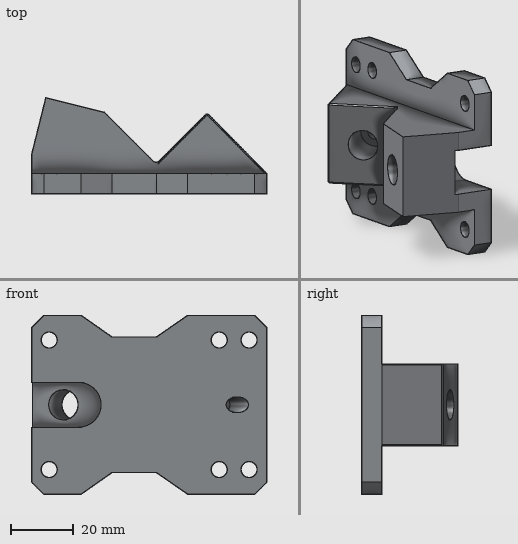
import cadquery as cq
import math

plate_length = 75.0
plate_height = 57.0
plate_thickness = 6.45
corner_chamfer = 3.9
waist_half_height = 21.6
left_wing_end = 15.8
waist_start = 25.65
waist_end = 39.75
right_wing_start = 49.7

screw_diameter = 5.0
screw_columns = (5.6, 59.8, 69.3)
screw_row_offset = 20.6

body_height = 26.1
block_tilt = math.radians(14)
block_left_height = 12.5
block_peak_y = 30.7
block_top_end_x = 23.2
prism_ridge_x = 55.95
prism_ridge_y = 25.8
valley_radius = 1.5
prism_edge_break = 0.45

pocket_width = 14.3
pocket_arc_x = 14.8
pocket_floor_y = 13.65
tilted_hole_diameter = 9.6
tilted_hole_x = 10.1

prism_hole_x = 65.55
prism_hole_diameter = 5.0
prism_bore_diameter = 9.6
prism_step_distance = 5.89

clearance = 45.0

tilt_slope = math.tan(block_tilt)
block_peak_x = (block_peak_y - block_left_height) * tilt_slope
block_top_end_y = block_peak_y - (block_top_end_x - block_peak_x) * tilt_slope
block_face_sum = block_top_end_x + block_top_end_y
prism_face_difference = prism_ridge_x - prism_ridge_y
valley_x = (block_face_sum + prism_face_difference) / 2
valley_y = (block_face_sum - prism_face_difference) / 2


def extrude_profile(points, height):
    """Extrude an XY profile symmetrically about Z = 0."""
    return cq.Workplane("XY").polyline(points).close().extrude(height / 2, both=True)


def cylinder_along(start_x, start_y, direction, diameter):
    """Long cylinder in the Z = 0 plane, starting at the given point."""
    return cq.Workplane(
        cq.Solid.makeCylinder(diameter / 2, clearance, cq.Vector(start_x, start_y, 0), direction)
    )


def make_plate():
    half_height = plate_height / 2
    chamfer_z = half_height - corner_chamfer
    upper_edge = [
        (0, chamfer_z),
        (corner_chamfer, half_height),
        (left_wing_end, half_height),
        (waist_start, waist_half_height),
        (waist_end, waist_half_height),
        (right_wing_start, half_height),
        (plate_length - corner_chamfer, half_height),
        (plate_length, chamfer_z),
    ]
    lower_edge = [(x, -z) for x, z in reversed(upper_edge)]
    plate = cq.Workplane("XZ").polyline(upper_edge + lower_edge).close().extrude(-plate_thickness)
    screw_points = [(x, z) for x in screw_columns for z in (-screw_row_offset, screw_row_offset)]
    screws = cq.Workplane("XZ").pushPoints(screw_points).circle(screw_diameter / 2).extrude(-plate_thickness)
    return plate.cut(screws)


def make_body():
    block = extrude_profile(
        [
            (0, 0),
            (0, block_left_height),
            (block_peak_x, block_peak_y),
            (block_top_end_x, block_top_end_y),
            (valley_x, valley_y),
            (valley_x, 0),
        ],
        body_height,
    )
    prism = extrude_profile(
        [
            (valley_x, 0),
            (valley_x, valley_y),
            (prism_ridge_x, prism_ridge_y),
            (plate_length, plate_thickness),
            (plate_length, 0),
        ],
        body_height,
    )
    ridge_face_edges = prism.faces("<(1,-1,0) or >(1,1,0)").edges()
    valley_side = cq.selectors.BoxSelector(
        (valley_x - 0.75, valley_y - 0.75, -body_height), (valley_x + 0.75, valley_y + 0.75, body_height)
    )
    plate_side = cq.selectors.BoxSelector(
        (plate_length - 0.75, plate_thickness - 0.75, -body_height),
        (plate_length + 0.75, plate_thickness + 0.75, body_height),
    )
    prism = ridge_face_edges.edges(-(valley_side + plate_side)).chamfer(prism_edge_break)
    tangent_offset = valley_radius / math.sqrt(2)
    valley_fill = (
        cq.Workplane("XY")
        .moveTo(valley_x, valley_y - valley_radius)
        .lineTo(valley_x + tangent_offset, valley_y + tangent_offset)
        .threePointArc(
            (valley_x, valley_y + valley_radius * (math.sqrt(2) - 1)),
            (valley_x - tangent_offset, valley_y + tangent_offset),
        )
        .close()
        .extrude(body_height / 2, both=True)
    )
    return block.union(prism).union(valley_fill)


def make_pocket():
    pocket_radius = pocket_width / 2
    tilted_plane = cq.Plane(
        origin=(pocket_arc_x, 0, 0),
        xDir=(math.cos(block_tilt), -math.sin(block_tilt), 0),
        normal=(math.sin(block_tilt), math.cos(block_tilt), 0),
    )
    slot = (
        cq.Workplane(tilted_plane)
        .moveTo(-clearance, -pocket_radius)
        .lineTo(0, -pocket_radius)
        .threePointArc((pocket_radius, 0), (0, pocket_radius))
        .lineTo(-clearance, pocket_radius)
        .close()
        .extrude(clearance, both=True)
    )
    below_floor = extrude_profile(
        [
            (-clearance, -clearance),
            (-clearance, pocket_floor_y + clearance * tilt_slope),
            (clearance, pocket_floor_y - clearance * tilt_slope),
            (clearance, -clearance),
        ],
        pocket_width,
    )
    return slot.intersect(below_floor)


def make_tilted_hole():
    hole_y = pocket_floor_y - tilted_hole_x * tilt_slope
    direction = cq.Vector(math.sin(block_tilt), math.cos(block_tilt), 0)
    return cylinder_along(tilted_hole_x, hole_y, direction, tilted_hole_diameter)


def make_prism_bore():
    direction = cq.Vector(-1, 1, 0)
    lead_in = plate_thickness
    hole = cylinder_along(prism_hole_x + lead_in, -lead_in, direction, prism_hole_diameter)
    step_offset = prism_step_distance / math.sqrt(2)
    bore = cylinder_along(prism_hole_x - step_offset, step_offset, direction, prism_bore_diameter)
    prism_space = extrude_profile(
        [
            (valley_x, -clearance),
            (valley_x, clearance),
            (plate_length, clearance),
            (plate_length, -clearance),
        ],
        body_height,
    )
    return hole.union(bore).intersect(prism_space)


result = (
    make_plate()
    .union(make_body())
    .cut(make_pocket())
    .cut(make_tilted_hole())
    .cut(make_prism_bore())
)